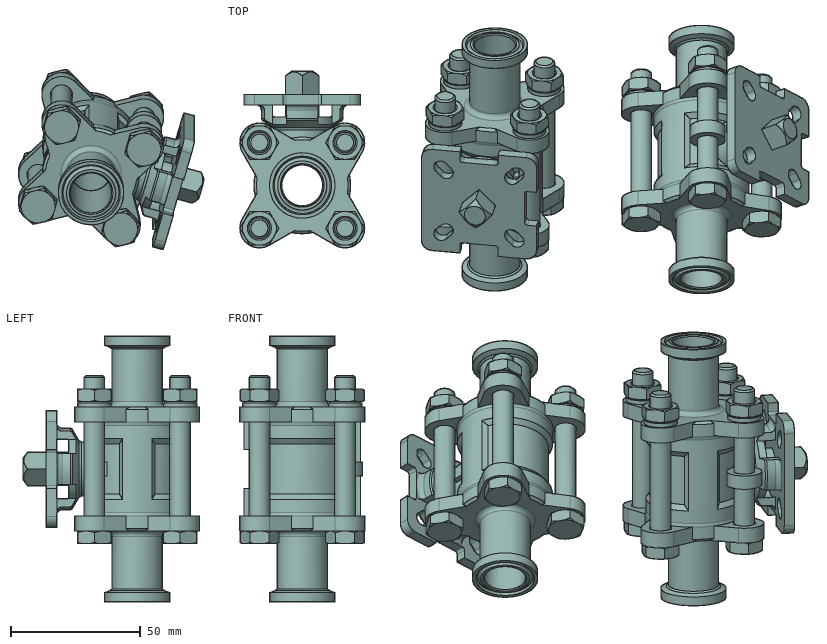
import cadquery as cq
import math


HALF_LENGTH = 51.5
PIPE_R = 9.8
PIPE_BORE_R = 16.0 / 2
BODY_BORE_R = 15.8 / 2
CLAMP_R = 12.7
CLAMP_RIM_Z = 47.9
CLAMP_BACK_R = 10.5
CLAMP_BACK_Z = 47.1
CLAMP_NECK_Z = 46.5
GASKET_OUTER_R = 11.3
GASKET_FLOOR_R = 10.8
GASKET_INNER_R = 9.5
GASKET_DEPTH = 0.9
GASKET_MID_R = 10.0
GASKET_MID_DEPTH = 0.8
BORE_LEAD_R = 8.4
PIPE_FILLET_R = 2.0

PLATE_INNER_Z = 18.1
PLATE_OUTER_Z = 24.1
PLATE_R = 18.7
BOLT_OFFSET = 16.6
LOBE_R = 7.6
LOBE_TANGENT_ANGLE = 30.0
TAB_CHAMFER_DEPTH = 1.0
TAB_CHAMFER_WIDTH = 1.0
BOLT_HOLE_R = 8.5 / 2

BOLT_R = 4.0
BOLT_TOP_Z = 36.2
BOLT_CHAMFER = 0.7
HEX_FLATS = 13.0
HEAD_HEIGHT = 4.8
NUT_BASE_Z = 26.1
NUT_TOP_Z = 31.0
NUT_MOUTH_R = 4.6
HEX_FACE_R = 6.6
HEX_CHAMFER_HEIGHT = 0.5
WASHER_R = 6.5
WASHER_TOP_Z = 25.6
NUT_COLLAR_R = 6.0

BODY_R = 18.4
FLARE_Z = 16.8
RECESS_R = 16.9
RECESS_FLOOR_HALF_Z = 9.7
RECESS_TOP_HALF_Z = 11.7
RECESS_SIDE_INNER = (15.5, 6.9)
RECESS_SIDE_OUTER = (20.6, 3.9)
RECESS_REACH = 25.8

EAR_HALF_Z = 2.7
EAR_START_X = -12.2
EAR_FRONT_Y = 11.7
EAR_R = 6.8

BONNET_R = 10.5
BONNET_END_Y = 21.5
CUP_BASE_R = 10.9
CUP_START_Y = 22.5
CUP_CONE_R = 15.5
CUP_CONE_END_Y = 25.1
CUP_R = 15.9
CUP_EDGE_Y = 25.9
CUP_FLOOR_Y = 26.6
CUP_BORE_R = 13.0
CUP_CORNER_R = 0.6
CUP_SHOULDER_Y = 23.7
ARM_HALF_WIDTH = 6.1
ARM_FILLET_R = 2.0
PAD_START_Y = 31.1
PAD_THICKNESS = 4.1
PAD_SIDE = 45.2
PAD_CORNER_R = 4.1
NOTCH_HALF_WIDTH = 7.5
NOTCH_DEPTH = 4.6
NOTCH_FILLET_R = 1.1
SLOT_OFFSET = 13.9
SLOT_WIDTH = 5.6
SLOT_TRAVEL = 2.9
STEM_R = 6.5
STEM_END_Y = 44.3
STEM_TIP_R = 4.1
STEM_CHAMFER_HEIGHT = 1.9

QUADRANTS = [(-1, -1), (-1, 1), (1, -1), (1, 1)]
BOLT_CENTERS = [(sx * BOLT_OFFSET, sy * BOLT_OFFSET) for sx, sy in QUADRANTS]
PAD_END_Y = PAD_START_Y + PAD_THICKNESS


def cylinder(radius, z_start, z_end, center=(0, 0)):
    """Cylinder along Z between two heights."""
    return cq.Workplane("XY").workplane(offset=z_start).center(*center).circle(radius).extrude(z_end - z_start)


def along_y(start_y):
    """Sketch plane at a given Y, with local (x, y) = (X, -Z) and extrusion toward +Y."""
    return cq.Workplane("XZ", origin=(0, start_y, 0)).transformed(rotate=(180, 0, 0))


def y_box(half_x, half_z, start_y, end_y):
    """Box centred on the stem axis."""
    return along_y(start_y).rect(2 * half_x, 2 * half_z).extrude(end_y - start_y)


def make_pipe():
    """Upper pipe with its clamp flange and the fillet at the end plate."""
    fillet_mid = PIPE_FILLET_R * (1 - math.sqrt(0.5))
    gasket_floor_z = HALF_LENGTH - GASKET_DEPTH
    lead_z = HALF_LENGTH - (BORE_LEAD_R - PIPE_BORE_R)
    return (
        cq.Workplane("XZ")
        .moveTo(PIPE_BORE_R, PLATE_INNER_Z)
        .lineTo(PIPE_R + PIPE_FILLET_R, PLATE_INNER_Z)
        .lineTo(PIPE_R + PIPE_FILLET_R, PLATE_OUTER_Z)
        .threePointArc(
            (PIPE_R + fillet_mid, PLATE_OUTER_Z + fillet_mid),
            (PIPE_R, PLATE_OUTER_Z + PIPE_FILLET_R),
        )
        .lineTo(PIPE_R, CLAMP_NECK_Z)
        .lineTo(CLAMP_BACK_R, CLAMP_BACK_Z)
        .lineTo(CLAMP_R, CLAMP_RIM_Z)
        .lineTo(CLAMP_R, HALF_LENGTH)
        .lineTo(GASKET_OUTER_R, HALF_LENGTH)
        .lineTo(GASKET_FLOOR_R, gasket_floor_z)
        .threePointArc(
            (GASKET_MID_R, HALF_LENGTH - GASKET_MID_DEPTH),
            (GASKET_INNER_R, HALF_LENGTH),
        )
        .lineTo(BORE_LEAD_R, HALF_LENGTH)
        .lineTo(PIPE_BORE_R, lead_z)
        .close()
        .revolve(360, (0, 0, 0), (0, 1, 0))
    )


def make_plate():
    """Upper four-lobed end plate with chamfered waists and clearance holes."""
    angle = math.radians(LOBE_TANGENT_ANGLE)
    tangent_near = BOLT_OFFSET - LOBE_R * math.sin(angle)
    tangent_far = BOLT_OFFSET + LOBE_R * math.cos(angle)
    thickness = PLATE_OUTER_Z - PLATE_INNER_Z

    plate = cylinder(PLATE_R, PLATE_INNER_Z, PLATE_OUTER_Z)
    waist_y = tangent_far - tangent_near * math.tan(angle)
    wedge = [(0, 0), (0, waist_y), (tangent_near, tangent_far), (tangent_far, tangent_near), (waist_y, 0)]
    for sx, sy in QUADRANTS:
        plate = plate.union(
            cq.Workplane("XY")
            .workplane(offset=PLATE_INNER_Z)
            .polyline([(sx * x, sy * y) for x, y in wedge])
            .close()
            .extrude(thickness)
        )
    for center in BOLT_CENTERS:
        plate = plate.union(cylinder(LOBE_R, PLATE_INNER_Z, PLATE_OUTER_Z, center))

    for sx, sy in [(1, 0), (-1, 0), (0, 1), (0, -1)]:
        nearest = cq.selectors.NearestToPointSelector((sx * PLATE_R, sy * PLATE_R, PLATE_OUTER_Z))
        plate = plate.edges(nearest).chamfer(TAB_CHAMFER_DEPTH, TAB_CHAMFER_WIDTH)
    return plate.cut(
        cq.Workplane("XY").workplane(offset=PLATE_INNER_Z).pushPoints(BOLT_CENTERS)
        .circle(BOLT_HOLE_R).extrude(thickness)
    )


def make_hexagon(center, z_start, z_end):
    """Hexagon with two corners along X and both faces chamfered on the corners."""
    corner_r = HEX_FLATS / math.sqrt(3)
    hexagon = (
        cq.Workplane("XY").workplane(offset=z_start).center(*center)
        .polygon(6, 2 * corner_r).extrude(z_end - z_start)
    )
    envelope = cylinder(corner_r, z_start, z_end, center).faces("<Z or >Z").chamfer(
        HEX_CHAMFER_HEIGHT, corner_r - HEX_FACE_R
    )
    return hexagon.intersect(envelope)


def make_bolt(center):
    """Bolt with head below the lower plate, washer and nut above the upper plate."""
    shaft = cylinder(BOLT_R, -PLATE_OUTER_Z, BOLT_TOP_Z, center).faces(">Z").chamfer(BOLT_CHAMFER)
    head = make_hexagon(center, -PLATE_OUTER_Z - HEAD_HEIGHT, -PLATE_OUTER_Z)
    nut = make_hexagon(center, NUT_BASE_Z, NUT_TOP_Z)
    mouth_depth = NUT_MOUTH_R - BOLT_R
    mouth = (
        cq.Workplane("XY").workplane(offset=NUT_TOP_Z - mouth_depth).center(*center)
        .circle(BOLT_R).workplane(offset=mouth_depth).circle(NUT_MOUTH_R).loft()
    )
    washer = cylinder(WASHER_R, PLATE_OUTER_Z, WASHER_TOP_Z, center)
    collar = cylinder(NUT_COLLAR_R, WASHER_TOP_Z, NUT_BASE_Z, center)
    return nut.cut(mouth).union(collar).union(washer).union(head).union(shaft)


def make_recess(side):
    """Tool for the wide recess on the +Y or -Y side of the body."""
    slope = (RECESS_TOP_HALF_Z - RECESS_FLOOR_HALF_Z) / (BODY_R - RECESS_R)
    reach_half_z = RECESS_FLOOR_HALF_Z + slope * (RECESS_REACH - RECESS_R)
    ring = (
        cq.Workplane("XZ")
        .polyline([
            (RECESS_R, -RECESS_FLOOR_HALF_Z),
            (RECESS_R, RECESS_FLOOR_HALF_Z),
            (RECESS_REACH, reach_half_z),
            (RECESS_REACH, -reach_half_z),
        ])
        .close()
        .revolve(360, (0, 0, 0), (0, 1, 0))
    )
    outline = [RECESS_SIDE_INNER, RECESS_SIDE_OUTER, (RECESS_SIDE_OUTER[0], RECESS_REACH)]
    mirrored = [(-x, y) for x, y in reversed(outline)]
    sector = (
        cq.Workplane("XY")
        .polyline([(x, side * y) for x, y in outline + mirrored])
        .close()
        .extrude(RECESS_REACH, both=True)
    )
    return ring.intersect(sector)


def make_body():
    """Round body that flares at the end plates, with a recess on the -Y and +Y sides."""
    body = (
        cq.Workplane("XZ")
        .polyline([
            (0, -PLATE_INNER_Z),
            (PLATE_R, -PLATE_INNER_Z),
            (BODY_R, -FLARE_Z),
            (BODY_R, FLARE_Z),
            (PLATE_R, PLATE_INNER_Z),
            (0, PLATE_INNER_Z),
        ])
        .close()
        .revolve(360, (0, 0, 0), (0, 1, 0))
    )
    for side in (-1, 1):
        body = body.cut(make_recess(side))
    return body


def make_ear():
    """Bar on the back of the body that ends in a collar around one bolt."""
    bar = (
        cq.Workplane("XY").workplane(offset=-EAR_HALF_Z)
        .moveTo(EAR_START_X, EAR_FRONT_Y)
        .rect(BOLT_OFFSET - EAR_START_X, BOLT_OFFSET - EAR_FRONT_Y, centered=False)
        .extrude(2 * EAR_HALF_Z)
    )
    return bar.union(cylinder(EAR_R, -EAR_HALF_Z, EAR_HALF_Z, (BOLT_OFFSET, BOLT_OFFSET)))


def make_yoke():
    """Bonnet and open cup whose four arms carry the mounting pad."""
    fillet_mid = ARM_FILLET_R * (1 - math.sqrt(0.5))
    corner_mid = CUP_CORNER_R * (1 - math.sqrt(0.5))
    cup = (
        cq.Workplane("XY")
        .moveTo(0, EAR_FRONT_Y)
        .lineTo(BONNET_R, EAR_FRONT_Y)
        .lineTo(BONNET_R, BONNET_END_Y)
        .lineTo(CUP_BASE_R, CUP_START_Y)
        .lineTo(CUP_CONE_R, CUP_CONE_END_Y)
        .lineTo(CUP_R, CUP_EDGE_Y)
        .lineTo(CUP_R, PAD_START_Y - ARM_FILLET_R)
        .threePointArc(
            (CUP_R + fillet_mid, PAD_START_Y - fillet_mid),
            (CUP_R + ARM_FILLET_R, PAD_START_Y),
        )
        .lineTo(CUP_BORE_R, PAD_START_Y)
        .lineTo(CUP_BORE_R, CUP_FLOOR_Y + CUP_CORNER_R)
        .threePointArc(
            (CUP_BORE_R - corner_mid, CUP_FLOOR_Y + corner_mid),
            (CUP_BORE_R - CUP_CORNER_R, CUP_FLOOR_Y),
        )
        .lineTo(0, CUP_FLOOR_Y)
        .close()
        .revolve(360, (0, 0, 0), (0, 1, 0))
    )
    reach = CUP_R + 2 * ARM_FILLET_R
    arms = y_box(reach, ARM_HALF_WIDTH, CUP_SHOULDER_Y, PAD_START_Y).union(
        y_box(ARM_HALF_WIDTH, reach, CUP_SHOULDER_Y, PAD_START_Y)
    )
    core = along_y(CUP_SHOULDER_Y).circle(CUP_BORE_R).extrude(CUP_FLOOR_Y - CUP_SHOULDER_Y)
    waste = y_box(reach, reach, CUP_SHOULDER_Y, PAD_START_Y).cut(arms).cut(core)
    return cup.cut(waste)


def make_pad():
    """Square mounting pad with notches on three sides and a diagonal slot in each corner."""
    half = PAD_SIDE / 2
    pad = y_box(half, half, PAD_START_Y, PAD_END_Y).edges("|Y").fillet(PAD_CORNER_R)
    notch = (
        along_y(PAD_START_Y).center(-half, 0)
        .rect(2 * NOTCH_DEPTH, 2 * NOTCH_HALF_WIDTH).extrude(PAD_THICKNESS)
        .edges("|Y and >X").fillet(NOTCH_FILLET_R)
    )
    for turn in (-90, 0, 90):
        pad = pad.cut(notch.rotate((0, 0, 0), (0, 1, 0), turn))
    slot = (
        along_y(PAD_START_Y).center(SLOT_OFFSET * math.sqrt(2), 0)
        .slot2D(SLOT_WIDTH + SLOT_TRAVEL, SLOT_WIDTH).extrude(PAD_THICKNESS)
    )
    for turn in (45, 135, 225, 315):
        pad = pad.cut(slot.rotate((0, 0, 0), (0, 1, 0), turn))
    return pad


def make_stem():
    """Round stem whose outer end is a square with a conical tip, corners along X and Z."""
    shaft = along_y(CUP_START_Y).circle(STEM_R).extrude(PAD_END_Y - CUP_START_Y)
    square = along_y(PAD_START_Y).polygon(4, 2 * STEM_R).extrude(STEM_END_Y - PAD_START_Y)
    envelope = along_y(PAD_START_Y).circle(STEM_R).extrude(STEM_END_Y - PAD_START_Y)
    envelope = envelope.faces(">Y").chamfer(STEM_CHAMFER_HEIGHT, STEM_R - STEM_TIP_R)
    return shaft.union(square.intersect(envelope))


end_piece = make_plate().union(make_pipe())
end_piece = end_piece.cut(cylinder(PIPE_BORE_R, PLATE_INNER_Z, PLATE_OUTER_Z))

body = make_body().union(make_yoke()).union(make_ear())
body = body.cut(cylinder(BODY_BORE_R, -PLATE_INNER_Z, PLATE_INNER_Z))

result = body.union(end_piece).union(end_piece.mirror("XY"))
for bolt_center in BOLT_CENTERS:
    result = result.union(make_bolt(bolt_center))
result = result.union(make_pad()).union(make_stem())